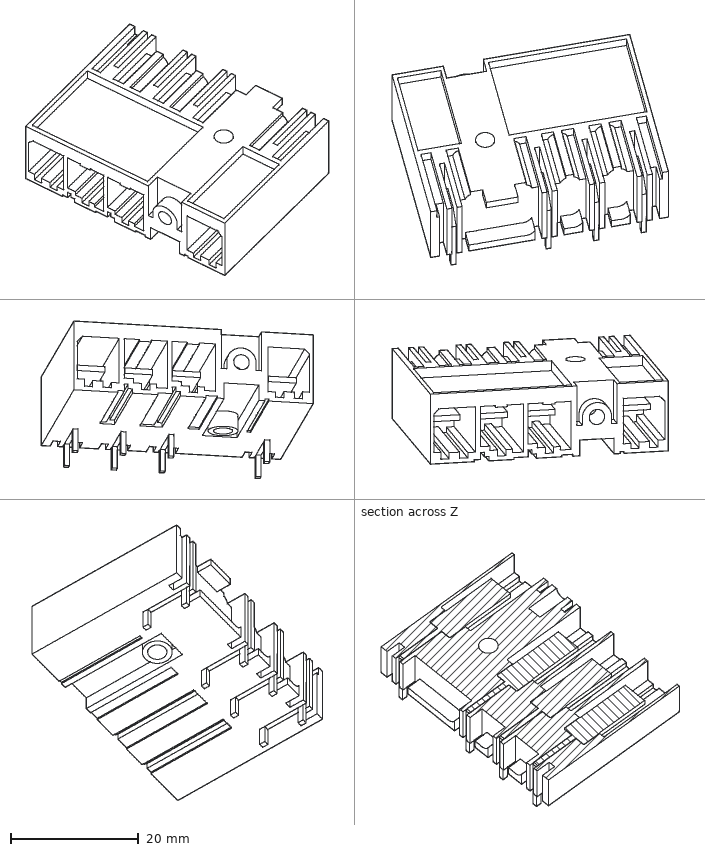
import cadquery as cq
import math

pitch = 7.62
positions = 5
width = pitch * positions
depth = 28.3
height = 11.35

contact_cells = (0, 1, 2, 4)
flange_cell = 3


def cell_center(cell):
    return pitch * (cell + 0.5)


flange_x = cell_center(flange_cell)

port_depth = 15.8
port_top = 8.91
guide_floor = 1.70
groove_floor = 0.71
guide_groove_width = 1.31
end_port_left = 0.57
end_port_right = 7.21
end_port_chamfer = 0.81
end_port_left_floor = 1.86
end_port_right_floor = 1.56
end_groove_1_left = 1.69
end_groove_2_left = 4.67
inner_port_left = 0.41
inner_port_right = 7.30
inner_port_left_floor = 2.4
inner_port_right_floor = 1.13
inner_guide_left = 1.88
inner_guide_right = 5.56
inner_groove_left = 3.15
top_rib_left = 2.82
top_rib_right = 4.72
top_rib_height = 0.28

pocket_depth = 1.6
pocket_floor = height - pocket_depth
pocket_front = 0.8
pocket_back = 15.8
side_wall = 0.7
left_pocket_right = 22.8
right_pocket_left = 30.45

slot_front = 16.65
slot_floor = pocket_floor
notch_front = 25.7
top_side_wall = 1.0
rear_side_wall = 1.42
tower_width = 2.45
fin_width = 1.3
arch_half_width = 1.55
arch_radius = 1.64

shelf_top = 1.5
shelf_half_width = 1.5
saddle_flat_offset = 0.42
saddle_center_z = shelf_top + math.sqrt(arch_radius**2 - saddle_flat_offset**2)
tongue_left = 24.1
tongue_right = 29.2
tongue_thickness = 1.35

flange_recess_width = 6.4
flange_recess_depth = 2.45
flange_recess_floor = 4.95
boss_radius = 2.335
boss_z = 6.15
screw_hole_diameter = 2.45
screw_hole_depth = 6.0
mount_hole_diameter = 3.0
mount_hole_y = 15.95
channel_width = 5.5
channel_height = 2.55
channel_end_clearance = 0.5

key_depth = port_depth
key_low = 0.3
key_mid = 0.71
key_high = 1.43
key_offset = 0.43
key_tall_width = 0.58
key_mid_width = 0.71
first_key_low_width = 1.01
second_key_low_width = 2.26
flange_key_left = 21.06
flange_key_right = 22.83
last_key_left = 30.42
last_key_right = 31.02

pin_thickness = 0.8
tail_width = 1.0
tail_length = 3.55
pin_front = 19.15
pin_back = 27.65
shoulder_front = 21.6
shoulder_back = 25.55
shoulder_top = 8.0
blade_width = 4.43
blade_bottom = 5.23
blade_top = 6.12
blade_tip = 6.0


def block(x0, x1, y0, y1, z0, z1):
    return cq.Workplane("XY").box(x1 - x0, y1 - y0, z1 - z0, centered=False).translate((x0, y0, z0))


def along_y(sketch_points, y0, y1):
    """Extrude a closed XZ outline from y0 to y1."""
    return cq.Workplane("XZ", origin=(0, y0, 0)).polyline(sketch_points).close().extrude(y0 - y1)


def y_cylinder(x, z, radius, y0, y1):
    return cq.Workplane("XZ", origin=(x, y0, z)).circle(radius).extrude(y0 - y1)


def end_port():
    """Port of the leftmost cell, with one chamfered corner and two floor grooves."""
    left, right = end_port_left, end_port_right
    groove_1_right = end_groove_1_left + guide_groove_width
    groove_2_right = end_groove_2_left + guide_groove_width
    outline = [
        (left + end_port_chamfer, port_top),
        (right, port_top),
        (right, end_port_right_floor),
        (groove_2_right, end_port_right_floor),
        (groove_2_right, groove_floor),
        (end_groove_2_left, groove_floor),
        (end_groove_2_left, guide_floor),
        (groove_1_right, guide_floor),
        (groove_1_right, groove_floor),
        (end_groove_1_left, groove_floor),
        (end_groove_1_left, end_port_left_floor),
        (left, end_port_left_floor),
        (left, port_top - end_port_chamfer),
    ]
    return along_y(outline, 0, port_depth)


def inner_port(cell):
    """Port of a middle cell, with a rib under its ceiling and one floor groove."""
    left, right = inner_port_left, inner_port_right
    rib_bottom = port_top - top_rib_height
    groove_right = inner_groove_left + guide_groove_width
    outline = [
        (left, port_top),
        (top_rib_left, port_top),
        (top_rib_left, rib_bottom),
        (top_rib_right, rib_bottom),
        (top_rib_right, port_top),
        (right, port_top),
        (right, inner_port_right_floor),
        (inner_guide_right, inner_port_right_floor),
        (inner_guide_right, guide_floor),
        (groove_right, guide_floor),
        (groove_right, groove_floor),
        (inner_groove_left, groove_floor),
        (inner_groove_left, guide_floor),
        (inner_guide_left, guide_floor),
        (inner_guide_left, inner_port_left_floor),
        (left, inner_port_left_floor),
    ]
    return along_y(outline, 0, port_depth).translate((cell * pitch, 0, 0))


def comb_slot(x0, x1):
    return block(x0, x1, slot_front, depth, slot_floor, height)


def rear_notch(x0, x1):
    return block(x0, x1, notch_front, depth, 0, height)


def arch(x):
    """Rounded ridge that runs along the comb at a cell boundary."""
    rise = math.sqrt(arch_radius**2 - arch_half_width**2)
    ridge = y_cylinder(x, slot_floor - rise, arch_radius, slot_front, notch_front)
    window = block(x - pitch / 2, x + pitch / 2, slot_front, notch_front, slot_floor, height)
    return ridge.intersect(window)


def saddle_groove(x):
    """Round-bottomed groove sunk into the rear shelf."""
    return y_cylinder(x, saddle_center_z, arch_radius, notch_front, depth)


def rear_shelf(x, right):
    """Low shelf behind the comb; its left side rises along the saddle groove."""
    left = x - shelf_half_width
    lip_top = saddle_center_z - math.sqrt(arch_radius**2 - shelf_half_width**2)
    profile = (
        cq.Workplane("XZ", origin=(0, notch_front, 0))
        .moveTo(left, 0)
        .lineTo(left, lip_top)
        .threePointArc((x, saddle_center_z - arch_radius), (x + saddle_flat_offset, shelf_top))
        .lineTo(right, shelf_top)
        .lineTo(right, 0)
        .close()
    )
    return profile.extrude(notch_front - depth)


def keyway(boundary, low_width):
    """Stepped keyway under the cell boundary with this number."""
    x = boundary * pitch + key_offset
    tall_right = x + key_tall_width
    mid_right = tall_right + key_mid_width
    outline = [
        (x - low_width, 0),
        (x - low_width, key_low),
        (x, key_low),
        (x, key_high),
        (tall_right, key_high),
        (tall_right, key_mid),
        (mid_right, key_mid),
        (mid_right, 0),
    ]
    return along_y(outline, 0, key_depth)


def pin(cell):
    """Contact: upright plate with a flat blade to the front and two solder tails."""
    plate_outline = [
        (pin_front, -tail_length),
        (pin_front, blade_top),
        (shoulder_front, blade_top),
        (shoulder_front, shoulder_top),
        (shoulder_back, shoulder_top),
        (pin_back, shoulder_top - (pin_back - shoulder_back)),
        (pin_back, -tail_length),
        (pin_back - tail_width, -tail_length),
        (pin_back - tail_width, 0),
        (pin_front + tail_width, 0),
        (pin_front + tail_width, -tail_length),
    ]
    plate = cq.Workplane("YZ").polyline(plate_outline).close().extrude(pin_thickness / 2, both=True)
    half_blade = blade_width / 2
    blade = block(-half_blade, half_blade, blade_tip, pin_front, blade_bottom, blade_top)
    return plate.union(blade).translate((cell_center(cell), 0, 0))


def housing_block():
    """Envelope with the plug ports and the pockets in the top face."""
    body = block(0, width, 0, depth, 0, height)
    body = body.cut(end_port())
    body = body.cut(end_port().mirror("YZ", (width / 2, 0, 0)))
    for cell in (1, 2):
        body = body.cut(inner_port(cell))
    for x0, x1 in ((side_wall, left_pocket_right), (right_pocket_left, width - side_wall)):
        body = body.cut(block(x0, x1, pocket_front, pocket_back, pocket_floor, height))
    return body


def cut_comb(body):
    """Slots and rear notches that leave the towers, fins, arches and saddle shelves."""
    half_tower = tower_width / 2
    half_fin = fin_width / 2
    for cell in contact_cells:
        tower_left = cell_center(cell) - half_tower
        tower_right = cell_center(cell) + half_tower
        left_end = cell == 0
        right_end = cell == positions - 1
        slot_left = top_side_wall if left_end else cell * pitch + half_fin
        slot_right = width - top_side_wall if right_end else (cell + 1) * pitch - half_fin
        notch_left = rear_side_wall if left_end else cell * pitch + shelf_half_width
        notch_right = width - rear_side_wall if right_end else (cell + 1) * pitch - shelf_half_width
        body = body.cut(comb_slot(slot_left, tower_left)).cut(comb_slot(tower_right, slot_right))
        body = body.cut(rear_notch(notch_left, tower_left)).cut(rear_notch(tower_right, notch_right))

    boundaries = [pitch * n for n in range(1, positions)]
    for x in boundaries:
        body = body.union(arch(x))

    for x in boundaries[:2]:
        body = body.cut(rear_notch(x - shelf_half_width, x + shelf_half_width))
        body = body.union(rear_shelf(x, x + shelf_half_width))

    flange_left, flange_right = boundaries[2:]
    shelf_right = flange_right + shelf_half_width
    body = body.cut(rear_notch(flange_left - shelf_half_width, shelf_right))
    body = body.union(rear_shelf(flange_left, shelf_right))
    body = body.cut(saddle_groove(flange_right))
    tongue = block(tongue_left, tongue_right, notch_front, depth, height - tongue_thickness, height)
    return body.union(tongue)


def cut_flange(body):
    """Screw boss in its front recess, and the mounting hole with its collar in a channel below."""
    half_recess = flange_recess_width / 2
    recess = block(
        flange_x - half_recess, flange_x + half_recess, 0, flange_recess_depth, flange_recess_floor, height
    )
    boss = y_cylinder(flange_x, boss_z, boss_radius, 0, flange_recess_depth)
    boss_foot = block(
        flange_x - boss_radius, flange_x + boss_radius, 0, flange_recess_depth, flange_recess_floor, boss_z
    )
    screw_hole = y_cylinder(flange_x, boss_z, screw_hole_diameter / 2, 0, screw_hole_depth)
    body = body.cut(recess.cut(boss).cut(boss_foot)).cut(screw_hole)

    half_channel = channel_width / 2
    channel_end = mount_hole_y + boss_radius + channel_end_clearance
    channel = block(flange_x - half_channel, flange_x + half_channel, 0, channel_end, 0, channel_height)
    hole_plane = cq.Workplane("XY", origin=(flange_x, mount_hole_y, 0))
    collar = hole_plane.circle(boss_radius).extrude(channel_height)
    mount_hole = hole_plane.circle(mount_hole_diameter / 2).extrude(height)
    return body.cut(channel.cut(collar)).cut(mount_hole)


def cut_keyways(body):
    """Stepped keyways on the left, and shallow ones beside the flange."""
    body = body.cut(keyway(1, first_key_low_width))
    body = body.cut(keyway(2, second_key_low_width))
    for x0, x1 in ((flange_key_left, flange_key_right), (last_key_left, last_key_right)):
        body = body.cut(block(x0, x1, 0, key_depth, 0, key_low))
    return body


def cut_contact_seat(body, cell):
    """Open slot for the contact plate and the passage for its blade."""
    x = cell_center(cell)
    half_slot = pin_thickness / 2
    half_blade = blade_width / 2
    plate_slot = block(x - half_slot, x + half_slot, pin_front, depth, 0, height)
    passage = block(x - half_blade, x + half_blade, port_depth, pin_front, blade_bottom, blade_top)
    return body.cut(plate_slot).cut(passage)


housing = cut_keyways(cut_flange(cut_comb(housing_block())))
for contact_cell in contact_cells:
    housing = cut_contact_seat(housing, contact_cell)

pins = [pin(contact_cell).solids().val() for contact_cell in contact_cells]

result = cq.Compound.makeCompound([housing.solids().val(), *pins])